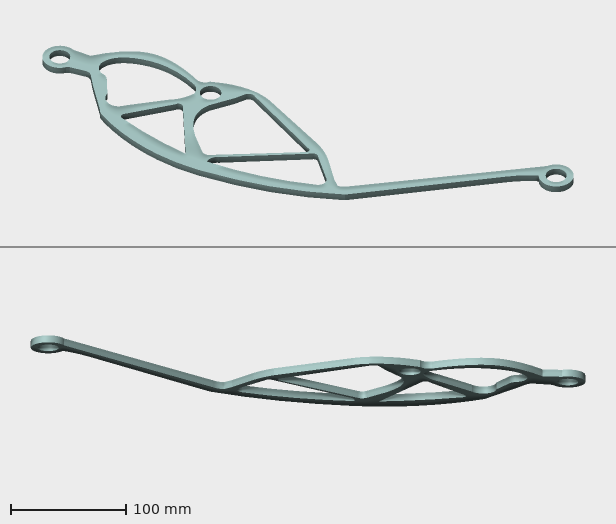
import cadquery as cq

thickness = 6.5
overall_length = 490.0
eye_diameter = 30.5
eye_hole_diameter = 18.0
pivot_hole_diameter = 18.5
pivot_x = 139.5

eye_spacing = overall_length - eye_diameter
eye_centers = [(0, 0), (eye_spacing, 0)]
pivot_center = (pivot_x, 0)


def plate_body():
    """Solid outline of the arm, running from inside one eye to inside the other."""
    return (
        cq.Workplane("XY")
        .moveTo(2.5, 13.5)
        .lineTo(24.5, 11.0)
        .spline([(40.5, 22.0), (71.5, 32.5), (107.0, 22.0), (122.5, 12.2)], includeCurrent=True)
        .threePointArc((128.5, 11.5), (133.8, 14.0))
        .spline([(156.5, 17.0), (178.5, 14.0), (191.0, 8.5)], includeCurrent=True)
        .lineTo(253.0, -34.0)
        .threePointArc((260.5, -41.0), (267.5, -50.0))
        .lineTo(281.5, -73.0)
        .lineTo(287.5, -80.5)
        .threePointArc((293.0, -79.5), (298.0, -77.0))
        .lineTo(449.5, 10.5)
        .lineTo(eye_spacing, 0)
        .lineTo(448.0, -5.0)
        .threePointArc((434.5, -9.5), (420.0, -16.5))
        .lineTo(298.0, -89.0)
        .spline(
            [(272.5, -95.5), (224.5, -102.5), (190.0, -103.5), (153.0, -101.0), (111.0, -89.5), (62.5, -61.5)],
            includeCurrent=True,
        )
        .threePointArc((60.0, -59.0), (58.0, -55.0))
        .lineTo(40.5, -26.5)
        .lineTo(34.0, -13.5)
        .threePointArc((31.5, -11.5), (27.5, -10.5))
        .lineTo(12.5, -10.5)
        .lineTo(3.0, -14.0)
        .close()
        .extrude(thickness)
    )


def left_window():
    return (
        cq.Workplane("XY")
        .moveTo(36.7, 5.0)
        .threePointArc((37.5, -4.0), (43.0, -9.0))
        .threePointArc((46.5, -11.0), (49.0, -14.5))
        .lineTo(56.5, -32.5)
        .threePointArc((62.5, -45.0), (76.0, -42.5))
        .lineTo(108.5, -22.0)
        .threePointArc((119.0, -15.0), (126.5, -6.5))
        .threePointArc((126.0, 1.0), (122.5, 5.5))
        .spline([(107.5, 14.0), (83.5, 21.5), (64.0, 21.5), (49.5, 17.5), (40.5, 11.5), (36.7, 5.0)], includeCurrent=True)
        .close()
        .extrude(thickness)
    )


def triangular_window():
    return (
        cq.Workplane("XY")
        .moveTo(79.5, -54.0)
        .threePointArc((78.5, -57.5), (81.0, -60.0))
        .threePointArc((111.5, -73.5), (149.0, -85.5))
        .lineTo(124.0, -26.5)
        .threePointArc((120.5, -23.5), (116.5, -25.5))
        .close()
        .extrude(thickness)
    )


def upper_right_window():
    return (
        cq.Workplane("XY")
        .moveTo(168.0, 8.5)
        .threePointArc((172.5, 11.0), (177.5, 9.0))
        .lineTo(245.0, -40.5)
        .threePointArc((247.5, -43.5), (246.0, -46.5))
        .lineTo(169.0, -80.0)
        .threePointArc((165.0, -80.5), (161.5, -78.5))
        .spline([(144.5, -54.0), (138.5, -35.0), (144.5, -16.0)], includeCurrent=True)
        .lineTo(161.5, 0.5)
        .close()
        .extrude(thickness)
    )


def lower_right_window():
    return (
        cq.Workplane("XY")
        .moveTo(252.0, -46.5)
        .threePointArc((254.5, -46.0), (256.5, -47.5))
        .lineTo(274.5, -73.5)
        .threePointArc((275.5, -81.5), (270.5, -85.2))
        .threePointArc((220.5, -91.0), (170.0, -89.0))
        .threePointArc((172.0, -83.5), (177.5, -80.0))
        .close()
        .extrude(thickness)
    )


def disc(center, diameter):
    return cq.Workplane("XY").center(*center).circle(diameter / 2).extrude(thickness)


result = plate_body()
for center in eye_centers:
    result = result.union(disc(center, eye_diameter))

for window in (left_window, triangular_window, upper_right_window, lower_right_window):
    result = result.cut(window())

for center in eye_centers:
    result = result.cut(disc(center, eye_hole_diameter))
result = result.cut(disc(pivot_center, pivot_hole_diameter))